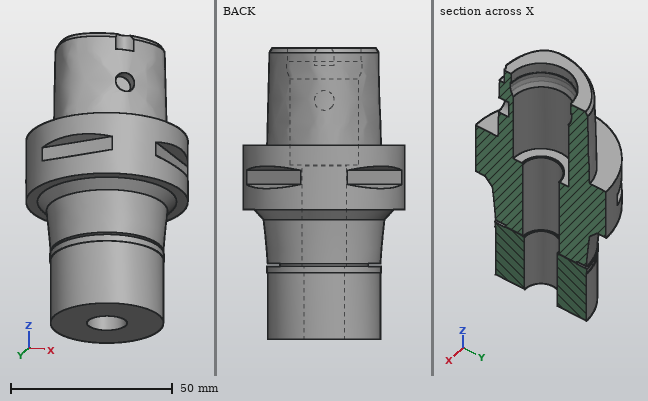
import cadquery as cq
import math

total_height = 90
flange_top = 60.0
flange_bottom = 40.05
cone_bottom = 37.0
neck_bottom = 23.4
nut_top = 22.6
collar_bottom = 20.5

flange_radius = 25.0
cone_top_radius = 21.5
neck_top_radius = 18.7
neck_middle_radius = 18
neck_bottom_radius = 17.5
spigot_radius = 13.7
collar_radius = 17.6
nut_radius = 17.5

shank_base_radius = 17.6
lobe_height = 1.1
shank_taper = 1 / 40
shank_chamfer_height = 1.4
shank_chamfer_width = 0.9
outline_points = 72

mouth_radius = 11.3
mouth_depth = 4.1
groove_radius = 11.7
groove_depth = 6.0
groove_end_depth = 7.65
socket_radius = 10.5
socket_cone_depth = 9.45
socket_floor = 54
passage_radius = 6.8
passage_chamfer = 0.4
nut_hole_radius = 6.2

slot_count = 4
slot_floor_distance = 22.05
slot_floor_height = 4.3
slot_rim_height = 6.9
slot_length = 2 * math.sqrt(flange_radius**2 - slot_floor_distance**2)
slot_height_centre = (flange_top + flange_bottom) / 2

notch_radius = 3.5
notch_inner_y = -14.1
notch_depth = 5.4
hole_radius = 3.1
hole_height = 73.9
hole_floor_y = -12.4


def lobed_wire(mean_radius, height):
    """Closed three-lobed outline with one lobe towards +Y.

    The distance from the axis to the tangent line at angle a is
    mean_radius - lobe_height * sin(3a).
    """
    points = []
    for index in range(outline_points):
        angle = 2 * math.pi * index / outline_points
        support = mean_radius - lobe_height * math.sin(3 * angle)
        slope = -3 * lobe_height * math.cos(3 * angle)
        x = support * math.cos(angle) - slope * math.sin(angle)
        y = support * math.sin(angle) + slope * math.cos(angle)
        points.append(cq.Vector(x, y, height))
    return cq.Wire.assembleEdges([cq.Edge.makeSpline(points, periodic=True)])


def make_shank():
    chamfer_start = total_height - shank_chamfer_height
    chamfer_radius = shank_base_radius - shank_taper * (chamfer_start - flange_top)
    base = lobed_wire(shank_base_radius, flange_top)
    shoulder = lobed_wire(chamfer_radius, chamfer_start)
    tip = lobed_wire(chamfer_radius - shank_chamfer_width, total_height)
    taper = cq.Solid.makeLoft([base, shoulder], True)
    chamfer = cq.Solid.makeLoft([shoulder, tip], True)
    return cq.Workplane(taper).union(cq.Workplane(chamfer))


def make_turned_body():
    """Flange, cone, concave neck and short spigot, revolved about Z."""
    neck_middle = (cone_bottom + neck_bottom) / 2
    return (
        cq.Workplane("XZ")
        .moveTo(0, flange_top)
        .lineTo(flange_radius, flange_top)
        .lineTo(flange_radius, flange_bottom)
        .lineTo(cone_top_radius, flange_bottom)
        .lineTo(neck_top_radius, cone_bottom)
        .threePointArc((neck_middle_radius, neck_middle), (neck_bottom_radius, neck_bottom))
        .lineTo(spigot_radius, neck_bottom)
        .lineTo(spigot_radius, nut_top)
        .lineTo(0, nut_top)
        .close()
        .revolve(360, (0, 0, 0), (0, 1, 0))
    )


def make_bore():
    """Stepped bore: mouth, shallow groove, socket and through passage."""
    return (
        cq.Workplane("XZ")
        .moveTo(0, total_height)
        .lineTo(mouth_radius, total_height)
        .lineTo(mouth_radius, total_height - mouth_depth)
        .lineTo(groove_radius, total_height - mouth_depth)
        .lineTo(groove_radius, total_height - groove_depth)
        .lineTo(mouth_radius, total_height - groove_end_depth)
        .lineTo(socket_radius, total_height - socket_cone_depth)
        .lineTo(socket_radius, socket_floor)
        .lineTo(passage_radius + passage_chamfer, socket_floor)
        .lineTo(passage_radius, socket_floor - passage_chamfer)
        .lineTo(passage_radius, nut_top)
        .lineTo(0, nut_top)
        .close()
        .revolve(360, (0, 0, 0), (0, 1, 0))
    )


def make_slot(angle):
    """Straight slot across the flange rim, widening outwards."""
    flare = (slot_rim_height - slot_floor_height) / 2
    inner_half = slot_floor_height / 2
    outer_half = inner_half + flare
    return (
        cq.Workplane("XZ")
        .moveTo(slot_floor_distance, slot_height_centre - inner_half)
        .lineTo(flange_radius, slot_height_centre - outer_half)
        .lineTo(flange_radius, slot_height_centre + outer_half)
        .lineTo(slot_floor_distance, slot_height_centre + inner_half)
        .close()
        .extrude(slot_length / 2, both=True)
        .rotate((0, 0, 0), (0, 0, 1), angle)
    )


def make_notch():
    return (
        cq.Workplane("XY", origin=(0, notch_inner_y - notch_radius, total_height))
        .circle(notch_radius)
        .extrude(-notch_depth)
    )


def make_side_hole():
    return (
        cq.Workplane("XZ", origin=(0, hole_floor_y, hole_height))
        .circle(hole_radius)
        .extrude(flange_radius + hole_floor_y)
    )


def make_holder():
    holder = make_turned_body().union(make_shank()).cut(make_bore())
    for index in range(slot_count):
        holder = holder.cut(make_slot(360 / slot_count * (index + 0.5)))
    return holder.cut(make_notch()).cut(make_side_hole())


def make_nut():
    """Cylindrical clamping nut with a thin collar at its top."""
    body = cq.Workplane("XY").circle(nut_radius).extrude(nut_top)
    collar = (
        cq.Workplane("XY", origin=(0, 0, collar_bottom))
        .circle(collar_radius)
        .extrude(nut_top - collar_bottom)
    )
    hole = cq.Workplane("XY").circle(nut_hole_radius).extrude(nut_top)
    return body.union(collar).cut(hole)


holder = make_holder()
nut = make_nut()
result = cq.Compound.makeCompound([holder.val(), nut.val()])